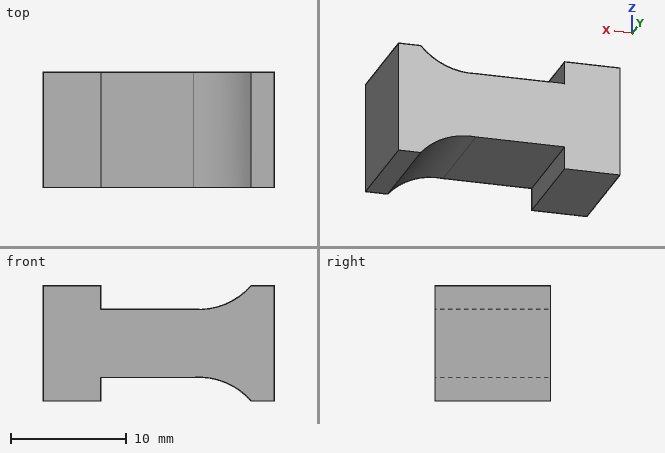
import cadquery as cq
import math

length = 20.0
width = 10.0
height = 10.0

head_length = 5.0
neck_height = 5.92
flare_start = 13.0
foot_length = 2.0
flare_radius = 6.0

half_height = height / 2
half_neck = neck_height / 2
flare_end = length - foot_length

flare_run = flare_end - flare_start
flare_rise = half_height - half_neck
half_chord = math.hypot(flare_run, flare_rise) / 2
chord_angle = math.atan2(flare_rise, flare_run)
sagitta = flare_radius - math.sqrt(flare_radius**2 - half_chord**2)
flare_mid_x = (flare_start + flare_end) / 2 + sagitta * math.sin(chord_angle)
flare_mid_z = (half_neck + half_height) / 2 - sagitta * math.cos(chord_angle)

upper_half = (
    cq.Workplane("XZ")
    .moveTo(0, 0)
    .lineTo(0, half_height)
    .lineTo(head_length, half_height)
    .lineTo(head_length, half_neck)
    .lineTo(flare_start, half_neck)
    .threePointArc((flare_mid_x, flare_mid_z), (flare_end, half_height))
    .lineTo(length, half_height)
    .lineTo(length, 0)
    .close()
    .extrude(width / 2, both=True)
)

result = upper_half.union(upper_half.mirror("XY")).clean()